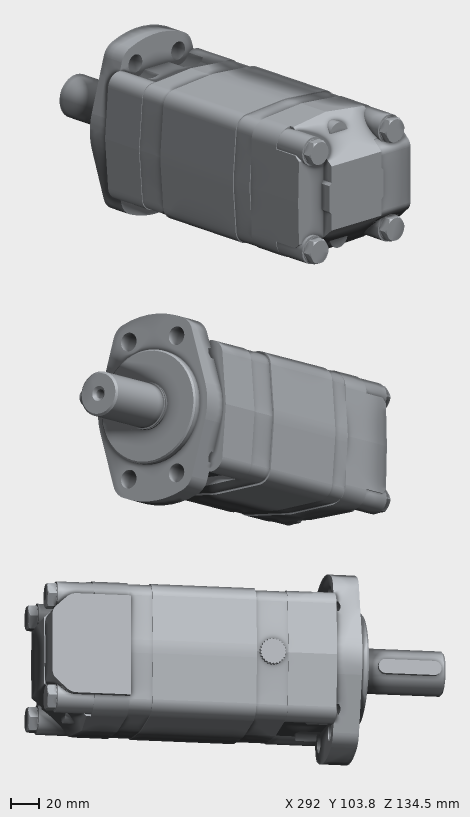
import cadquery as cq
import math


COLLAR_START = 56.3
PILOT_START = 59.8
FLANGE_START = 66.0
FLANGE_END = 84.7
POST_END = 119.7
HOUSING_END = 142.5
STATOR_END = 217.2
PLATE_END = 233.5
SLOPE_START = 259.0
COVER_SHELL_END = 282.5
COVER_POST_END = 285.0
COVER_END = 290.7
MOTOR_END = 292.0

BOLT_OFFSET = 36.8
BOLT_DIAMETER = 8.5
BOLT_WASHER_DIAMETER = 18.0
BOLT_WASHER_THICKNESS = 0.5
BOLT_HEAD_FLATS = 16.5
BOLT_HEAD_CHAMFER = 1.2
BOLT_HEAD_CLEARANCE = 19.8
HEXAGON_HALF_ANGLE = 30.0
BOLT_BORE_DEPTH = 3.2

RIDGE_ANGLE = 4.5
HOUSING_RIDGE = 50.2
PLUG_SECTION_RIDGE = 49.5
STATOR_RIDGE = 51.0
PLATE_RIDGE = 50.2
COVER_RIDGE_Y = 49.0
COVER_RIDGE_Z = 51.5
COVER_SIDE_ANGLE = 1.5
COVER_CORNER_RADIUS = 14.0
ROUNDED_RIDGE_RADIUS = 61.3

SHAFT_DIAMETER = 32.0
SHAFT_CHAMFER = 1.5
COLLAR_DIAMETER = 34.2
COLLAR_GROOVE_DIAMETER = 32.0
COLLAR_GROOVE_WIDTH = 1.2
COLLAR_LIP = 1.0
SHOULDER_DIAMETER = 41.5
CENTRE_HOLE_DIAMETER = 6.7
CENTRE_HOLE_DEPTH = 17.5
CENTRE_SINK_DIAMETER = 10.8
KEY_START = 3.8
KEY_LENGTH = 45.2
KEY_WIDTH = 10.2
KEY_BOTTOM = 11.5
KEY_TOP = 19.3

FLANGE_HEIGHT = 134.5
FLANGE_WIDTH = 95.0
MOUNT_HOLE_Y = 20.7
MOUNT_HOLE_Z = 49.3
MOUNT_HOLE_DIAMETER = 13.5
PILOT_DIAMETER = 81.7
PILOT_CHAMFER = 1.2

RECESS_FLOOR = 43.0
CLEARANCE_DIAMETER = 22.0
CLEARANCE_END = 99.5
DRILL_POINT_ANGLE = 118.0

CAP_DIAMETER = 18.7
CAP_TOP = 52.5
CAP_SERRATIONS = 24
CAP_SERRATION_DIAMETER = 1.5

SLOPE_END_HEIGHT = 24.0
CORNER_CUT_START = 34.5
BUMP_DIAMETER = 17.5
BUMP_TOP = 46.7
BUMP_END = 272.3
REAR_BLOCK_HALF_WIDTH = 24.2
REAR_RIB_HALF_WIDTH = 26.3
REAR_RIB_HALF_HEIGHT = 9.5
PAD_TOP = 53.0
PAD_HALF_HEIGHT = 36.0
PAD_END = 290.0
PAD_CHAMFER_LENGTH = 13.0
PAD_CHAMFER_HEIGHT = 12.0
PAD_SIDE_RADIUS = 10.5
PAD_REAR_RADIUS = 7.0

SIGNS = (-1, 1)
BOLT_POINTS = [(y * BOLT_OFFSET, z * BOLT_OFFSET) for y in SIGNS for z in SIGNS]
MOUNT_POINTS = [(y * MOUNT_HOLE_Y, z * MOUNT_HOLE_Z) for y in SIGNS for z in SIGNS]

OVERLAP = 3.0
RIDGE_TOLERANCE = 0.3


def section_plane(x):
    """Plane across the axis at x, with Y to the right and Z up."""
    return cq.Workplane("YZ", origin=(x, 0, 0))


def cylinders(points, diameter, start, end):
    """Cylinders along X at the given (Y, Z) points."""
    return section_plane(start).pushPoints(points).circle(diameter / 2).extrude(end - start)


def disc(diameter, start, end):
    return cylinders([(0, 0)], diameter, start, end)


def cone(y, z, diameter, start, length):
    """Cone along X that narrows to a point; a negative length points it to -X."""
    direction = cq.Vector(math.copysign(1, length), 0, 0)
    point = cq.Vector(start, y, z)
    return cq.Workplane(cq.Solid.makeCone(diameter / 2, 0, abs(length), point, direction))


def drill_point_length(diameter):
    return diameter / 2 / math.tan(math.radians(DRILL_POINT_ANGLE / 2))


def concentric_corner_radius(ridge):
    """Corner radius that puts the rounded corner concentric with the tie bolt."""
    angle = math.radians(RIDGE_ANGLE)
    return ridge * math.cos(angle) - BOLT_OFFSET * (math.cos(angle) + math.sin(angle))


POST_RADIUS = concentric_corner_radius(HOUSING_RIDGE)


def ridged_block(start, end, ridge_y, ridge_z, corner_radius, side_angle=RIDGE_ANGLE):
    """Block with ridges at +-ridge_y and +-ridge_z; side_angle is the tilt of the flats on +-Y."""
    top_slope = math.tan(math.radians(RIDGE_ANGLE))
    side_slope = math.tan(math.radians(side_angle))
    corner_y = (ridge_y - ridge_z * side_slope) / (1 - side_slope * top_slope)
    corner_z = ridge_z - corner_y * top_slope
    outline = [
        (ridge_y, 0),
        (corner_y, corner_z),
        (0, ridge_z),
        (-corner_y, corner_z),
        (-ridge_y, 0),
        (-corner_y, -corner_z),
        (0, -ridge_z),
        (corner_y, -corner_z),
    ]
    block = section_plane(start).polyline(outline).close().extrude(end - start)

    def is_corner(edge):
        centre = edge.Center()
        return min(abs(centre.y), abs(centre.z)) > corner_radius

    return block.edges("|X").filter(is_corner).fillet(corner_radius)


def make_shaft():
    shaft = disc(SHAFT_DIAMETER, 0, FLANGE_END).faces("<X").chamfer(SHAFT_CHAMFER)
    shaft = shaft.union(disc(COLLAR_DIAMETER, COLLAR_START, PILOT_START))
    groove_start = COLLAR_START + COLLAR_LIP
    groove_end = groove_start + COLLAR_GROOVE_WIDTH
    groove = disc(COLLAR_DIAMETER + OVERLAP, groove_start, groove_end)
    shaft = shaft.cut(groove.cut(disc(COLLAR_GROOVE_DIAMETER, groove_start, groove_end)))
    shaft = shaft.union(disc(SHOULDER_DIAMETER, PILOT_START, FLANGE_END))
    shaft = shaft.cut(disc(CENTRE_HOLE_DIAMETER, 0, CENTRE_HOLE_DEPTH))
    tip = cone(0, 0, CENTRE_HOLE_DIAMETER, CENTRE_HOLE_DEPTH, drill_point_length(CENTRE_HOLE_DIAMETER))
    sink = cone(0, 0, CENTRE_SINK_DIAMETER, 0, CENTRE_SINK_DIAMETER / 2)
    return shaft.cut(tip).cut(sink)


def make_key():
    return (
        cq.Workplane("XZ", origin=(KEY_START + KEY_LENGTH / 2, KEY_BOTTOM, 0))
        .slot2D(KEY_LENGTH, KEY_WIDTH)
        .extrude(KEY_BOTTOM - KEY_TOP)
    )


def make_flange():
    """Plate bounded by arcs about the axis, lobes around the mounting holes and tangent sides."""
    half_height = FLANGE_HEIGHT / 2
    half_width = FLANGE_WIDTH / 2
    lobe_distance = math.hypot(MOUNT_HOLE_Y, MOUNT_HOLE_Z)
    lobe_radius = half_height - lobe_distance
    lobe_angle = math.atan2(MOUNT_HOLE_Z, MOUNT_HOLE_Y)
    side_angle = lobe_angle - math.acos((half_width - lobe_radius) / lobe_distance)

    def axis_point(radius, angle):
        return (radius * math.cos(angle), radius * math.sin(angle))

    def lobe_point(angle):
        y, z = axis_point(lobe_radius, angle)
        return (MOUNT_HOLE_Y + y, MOUNT_HOLE_Z + z)

    def mirror(point, sign_y, sign_z):
        return (point[0] * sign_y, point[1] * sign_z)

    side_end = axis_point(half_width, side_angle)
    lobe_start = lobe_point(side_angle)
    lobe_middle = lobe_point((side_angle + lobe_angle) / 2)
    lobe_end = lobe_point(lobe_angle)
    outline = (
        section_plane(FLANGE_START)
        .moveTo(*mirror(side_end, 1, -1))
        .threePointArc((half_width, 0), side_end)
        .lineTo(*lobe_start)
        .threePointArc(lobe_middle, lobe_end)
        .threePointArc((0, half_height), mirror(lobe_end, -1, 1))
        .threePointArc(mirror(lobe_middle, -1, 1), mirror(lobe_start, -1, 1))
        .lineTo(*mirror(side_end, -1, 1))
        .threePointArc((-half_width, 0), mirror(side_end, -1, -1))
        .lineTo(*mirror(lobe_start, -1, -1))
        .threePointArc(mirror(lobe_middle, -1, -1), mirror(lobe_end, -1, -1))
        .threePointArc((0, -half_height), mirror(lobe_end, 1, -1))
        .threePointArc(mirror(lobe_middle, 1, -1), mirror(lobe_start, 1, -1))
        .close()
    )
    flange = outline.extrude(FLANGE_END - FLANGE_START)
    pilot = disc(PILOT_DIAMETER, PILOT_START, FLANGE_START).faces("<X").chamfer(PILOT_CHAMFER)
    return flange.union(pilot).cut(cylinders(MOUNT_POINTS, MOUNT_HOLE_DIAMETER, FLANGE_START, FLANGE_END))


def make_post_section():
    """Front part of the housing: flat recesses on top and bottom between round corner posts."""
    outer = ridged_block(FLANGE_END, POST_END, HOUSING_RIDGE, HOUSING_RIDGE, POST_RADIUS)
    tangent_height = BOLT_OFFSET + POST_RADIUS * math.sin(math.radians(RIDGE_ANGLE))
    middle = section_plane(FLANGE_END).rect(2 * HOUSING_RIDGE, 2 * tangent_height)
    core = section_plane(FLANGE_END).rect(2 * BOLT_OFFSET, 2 * RECESS_FLOOR)
    length = POST_END - FLANGE_END
    section = outer.intersect(middle.extrude(length).union(core.extrude(length)))
    section = section.union(cylinders(BOLT_POINTS, 2 * POST_RADIUS, FLANGE_END, POST_END))
    section = section.cut(cylinders(MOUNT_POINTS, CLEARANCE_DIAMETER, FLANGE_END, CLEARANCE_END))
    for y, z in MOUNT_POINTS:
        tip_length = drill_point_length(CLEARANCE_DIAMETER)
        section = section.cut(cone(y, z, CLEARANCE_DIAMETER, CLEARANCE_END, tip_length))
    return section


def make_drain_cap():
    """Serrated cap that closes the drain port."""
    root = PLUG_SECTION_RIDGE - OVERLAP
    centre = ((POST_END + HOUSING_END) / 2, root, 0)
    plane = cq.Workplane("XZ", origin=centre)
    cap = plane.circle(CAP_DIAMETER / 2).extrude(root - CAP_TOP)
    grooves = plane.polarArray(CAP_DIAMETER / 2, 0, 360, CAP_SERRATIONS)
    return cap.cut(grooves.circle(CAP_SERRATION_DIAMETER / 2).extrude(root - CAP_TOP))


def make_housing():
    radius = concentric_corner_radius(PLUG_SECTION_RIDGE)
    housing = ridged_block(POST_END, HOUSING_END, PLUG_SECTION_RIDGE, PLUG_SECTION_RIDGE, radius)
    housing = housing.union(make_post_section()).union(make_flange()).union(make_drain_cap())
    housing = housing.cut(disc(SHOULDER_DIAMETER, PILOT_START, FLANGE_END))
    bore_start = FLANGE_END - BOLT_BORE_DEPTH
    housing = housing.cut(cylinders(BOLT_POINTS, BOLT_DIAMETER, bore_start, HOUSING_END))
    for y, z in BOLT_POINTS:
        housing = housing.cut(cone(y, z, BOLT_DIAMETER, bore_start, -drill_point_length(BOLT_DIAMETER)))
    return housing


def make_ring(start, end, ridge):
    """Middle section with rounded ridges, drilled for the tie bolts."""
    ring = ridged_block(start, end, ridge, ridge, concentric_corner_radius(ridge))

    def is_ridge(edge):
        centre = edge.Center()
        return min(abs(centre.y), abs(centre.z)) < RIDGE_TOLERANCE

    ring = ring.edges("|X").filter(is_ridge).fillet(ROUNDED_RIDGE_RADIUS)
    return ring.cut(cylinders(BOLT_POINTS, BOLT_DIAMETER, start, end))


def make_slope_cut():
    """Material above the sloping rear of the cover, on the +Z side."""
    outline = [
        (SLOPE_START, COVER_RIDGE_Z),
        (COVER_END, SLOPE_END_HEIGHT),
        (COVER_END, COVER_RIDGE_Z),
    ]
    return cq.Workplane("XZ").polyline(outline).close().extrude(COVER_RIDGE_Y, both=True)


def make_corner_cuts():
    """Corners of the cover shell that stop where the slope starts and leave only the posts."""
    size = COVER_RIDGE_Z - CORNER_CUT_START
    centre = CORNER_CUT_START + size / 2
    return (
        section_plane(SLOPE_START)
        .pushPoints([(y * centre, z * centre) for y in SIGNS for z in SIGNS])
        .rect(size, size)
        .extrude(COVER_END - SLOPE_START)
    )


def make_rear_block():
    """Block behind the cover shell, with a flat-topped rib along the middle of its sides."""
    rib_foot = REAR_RIB_HALF_HEIGHT + REAR_RIB_HALF_WIDTH - REAR_BLOCK_HALF_WIDTH
    rib = [
        (REAR_RIB_HALF_WIDTH, -REAR_RIB_HALF_HEIGHT),
        (REAR_RIB_HALF_WIDTH, REAR_RIB_HALF_HEIGHT),
        (REAR_BLOCK_HALF_WIDTH, rib_foot),
        (-REAR_BLOCK_HALF_WIDTH, rib_foot),
        (-REAR_RIB_HALF_WIDTH, REAR_RIB_HALF_HEIGHT),
        (-REAR_RIB_HALF_WIDTH, -REAR_RIB_HALF_HEIGHT),
        (-REAR_BLOCK_HALF_WIDTH, -rib_foot),
        (REAR_BLOCK_HALF_WIDTH, -rib_foot),
    ]
    length = COVER_END - COVER_SHELL_END
    block = section_plane(COVER_SHELL_END).rect(2 * REAR_BLOCK_HALF_WIDTH, 2 * COVER_RIDGE_Z)
    return block.extrude(length).union(section_plane(COVER_SHELL_END).polyline(rib).close().extrude(length))


def make_port_pad():
    side_end = PAD_END - PAD_CHAMFER_LENGTH
    rear_height = PAD_HALF_HEIGHT - PAD_CHAMFER_HEIGHT
    outline = [
        (PLATE_END, -PAD_HALF_HEIGHT),
        (side_end, -PAD_HALF_HEIGHT),
        (PAD_END, -rear_height),
        (PAD_END, rear_height),
        (side_end, PAD_HALF_HEIGHT),
        (PLATE_END, PAD_HALF_HEIGHT),
    ]
    pad = cq.Workplane("XZ").polyline(outline).close().extrude(-PAD_TOP)
    pad = pad.edges(">X and |Y").fillet(PAD_REAR_RADIUS)

    def is_side_corner(edge):
        return abs(edge.Center().x - side_end) < OVERLAP

    return pad.edges("|Y").filter(is_side_corner).fillet(PAD_SIDE_RADIUS)


def make_cover():
    cover = ridged_block(
        PLATE_END, COVER_SHELL_END, COVER_RIDGE_Y, COVER_RIDGE_Z, COVER_CORNER_RADIUS, COVER_SIDE_ANGLE
    )
    slope_cut = make_slope_cut()
    cover = cover.union(make_rear_block()).cut(make_corner_cuts()).cut(slope_cut).cut(slope_cut.mirror("XY"))
    cover = cover.union(make_port_pad())
    cover = cover.union(cylinders(BOLT_POINTS, 2 * POST_RADIUS, PLATE_END, COVER_POST_END))
    bump_points = [(0, sign * (BUMP_TOP - BUMP_DIAMETER / 2)) for sign in SIGNS]
    cover = cover.union(cylinders(bump_points, BUMP_DIAMETER, PLATE_END, BUMP_END))
    cover = cover.cut(cylinders(BOLT_POINTS, BOLT_HEAD_CLEARANCE, COVER_POST_END, MOTOR_END))
    return cover.cut(cylinders(BOLT_POINTS, BOLT_DIAMETER, PLATE_END, COVER_POST_END))


def make_bolt(y, z):
    head_start = COVER_POST_END + BOLT_WASHER_THICKNESS
    bolt = cylinders([(y, z)], BOLT_DIAMETER, FLANGE_END, COVER_POST_END)
    bolt = bolt.union(cylinders([(y, z)], BOLT_WASHER_DIAMETER, COVER_POST_END, head_start))
    head = (
        section_plane(head_start)
        .center(y, z)
        .transformed(rotate=(0, 0, HEXAGON_HALF_ANGLE))
        .polygon(6, BOLT_HEAD_FLATS, circumscribed=True)
        .extrude(MOTOR_END - head_start)
    )
    corner_diameter = BOLT_HEAD_FLATS / math.cos(math.radians(HEXAGON_HALF_ANGLE))
    envelope = cylinders([(y, z)], corner_diameter, head_start, MOTOR_END)
    envelope = envelope.faces(">X").chamfer(BOLT_HEAD_CHAMFER)
    return bolt.union(head.intersect(envelope))


key = make_key()
shaft = make_shaft().cut(key)
housing = make_housing()
stator = make_ring(HOUSING_END, STATOR_END, STATOR_RIDGE)
plate = make_ring(STATOR_END, PLATE_END, PLATE_RIDGE)
cover = make_cover()
bolts = [make_bolt(y, z) for y, z in BOLT_POINTS]

result = cq.Compound.makeCompound(
    [
        shaft.val(),
        key.val(),
        housing.val(),
        stator.val(),
        plate.val(),
        cover.val(),
        *[bolt.val() for bolt in bolts],
    ]
)